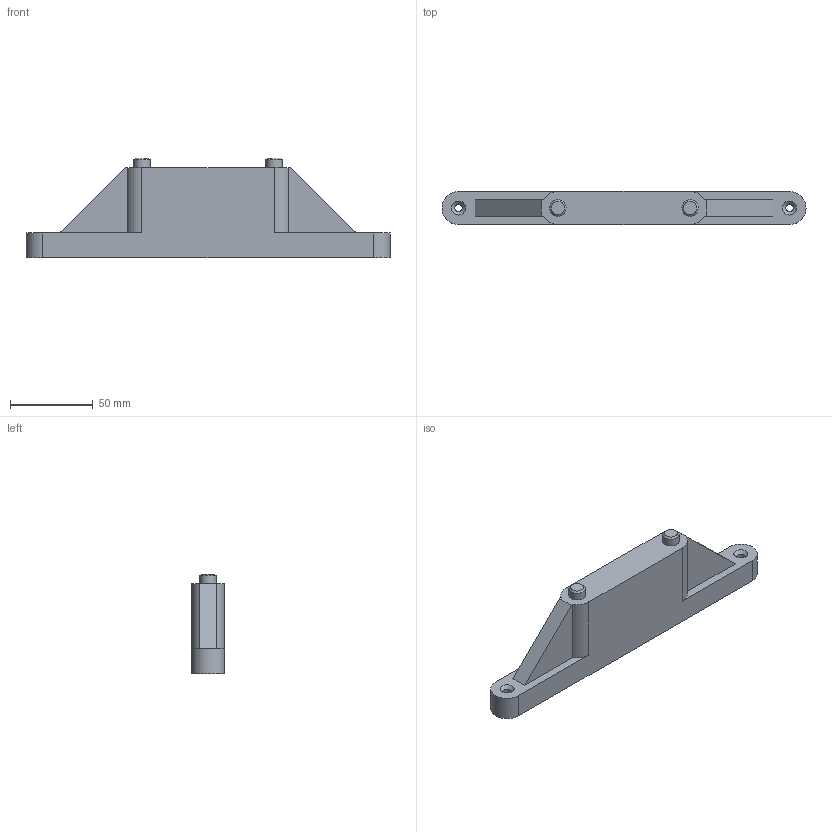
import cadquery as cq

BASE_LENGTH = 220.0
WIDTH = 20.0
BASE_HEIGHT = 15.0
END_RADIUS = WIDTH / 2

PIN_SPACING = 80.0
BLOCK_LENGTH = PIN_SPACING + WIDTH
BLOCK_HEIGHT = 39.29
BLOCK_TOP = BASE_HEIGHT + BLOCK_HEIGHT

PIN_DIAMETER = 10.0
PIN_HEIGHT = 5.9
PIN_CHAMFER = 1.0

RIB_THICKNESS = 10.0
RIB_FOOT_X = 90.0
RIB_TOP_X = BLOCK_LENGTH / 2

HOLE_SPACING = BASE_LENGTH - 2 * END_RADIUS
HOLE_DIAMETER = 4.5
COUNTERSINK_DIAMETER = 8.5
COUNTERSINK_ANGLE = 90.0


def rounded_bar(length, height, bottom_z):
    """Full-width bar with semicircular ends, standing on the given level."""
    return cq.Workplane("XY").workplane(offset=bottom_z).slot2D(length, WIDTH).extrude(height)


def make_ribs():
    """One trapezoidal plate through the block that forms the rib at each end."""
    return (
        cq.Workplane("XZ")
        .moveTo(-RIB_FOOT_X, BASE_HEIGHT)
        .lineTo(RIB_FOOT_X, BASE_HEIGHT)
        .lineTo(RIB_TOP_X, BLOCK_TOP)
        .lineTo(-RIB_TOP_X, BLOCK_TOP)
        .close()
        .extrude(RIB_THICKNESS / 2, both=True)
    )


def make_pin(x):
    """Upright pin at the given X, with a chamfered tip."""
    return (
        cq.Workplane("XY")
        .workplane(offset=BLOCK_TOP)
        .center(x, 0)
        .circle(PIN_DIAMETER / 2)
        .extrude(PIN_HEIGHT)
        .faces(">Z")
        .chamfer(PIN_CHAMFER)
    )


def cut_mounting_holes(body):
    """Countersunk through holes from the top face of the base."""
    return (
        body.copyWorkplane(cq.Workplane("XY", origin=(0, 0, BASE_HEIGHT)))
        .pushPoints([(-HOLE_SPACING / 2, 0), (HOLE_SPACING / 2, 0)])
        .cskHole(HOLE_DIAMETER, COUNTERSINK_DIAMETER, COUNTERSINK_ANGLE)
    )


body = rounded_bar(BASE_LENGTH, BASE_HEIGHT, 0)
body = body.union(rounded_bar(BLOCK_LENGTH, BLOCK_HEIGHT, BASE_HEIGHT))
body = body.union(make_ribs())
for pin_x in (-PIN_SPACING / 2, PIN_SPACING / 2):
    body = body.union(make_pin(pin_x))

result = cut_mounting_holes(body)